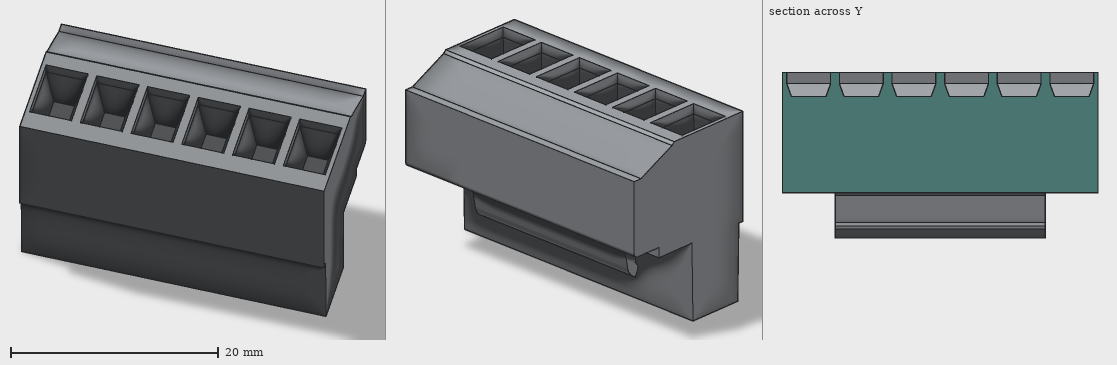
import cadquery as cq

length = 30.48
depth = 15.2
height = 20.0
poles = 6
pitch = length / poles

back_top_z = 17.62
back_rim_width = 0.95
slope_top_y = 9.9
slope_top_z = 19.7
top_back_y = 9.6
overhang_z = 9.45
overhang_corner_radius = 0.45
rear_step_y = 11.77
rear_step_z = 8.35

front_step_z = 8.25
plug_front_y = 0.55
plug_back_y = 7.13
plug_draft = 0.15

pocket_width = 4.2
pocket_depth_y = 6.05
pocket_front_y = 2.0
pocket_straight = 1.1
pocket_inset = 1.07
pocket_taper = 2.93

latch_length = length - 2 * pitch
latch_front_y = 9.65
latch_back_y = 11.3
latch_waist = (10.8, 5.25)
latch_belly = (10.45, 4.55)
latch_tip = (9.72, 4.0)
latch_barb_reach = 0.35
latch_barb_low_z = 4.88
latch_barb_high_z = 5.15
latch_barb_top_z = 5.5
latch_root_flare = 0.25


def along_row(outline, row_length):
    """Extrude a closed YZ outline along X, centred on the row."""
    return outline.close().extrude(row_length / 2, both=True)


def make_body():
    """Housing and plug as one constant section along the row."""
    radius = overhang_corner_radius
    outline = (
        cq.Workplane("YZ")
        .moveTo(0, front_step_z)
        .lineTo(0, height)
        .lineTo(top_back_y, height)
        .lineTo(slope_top_y, slope_top_z)
        .lineTo(depth - back_rim_width, back_top_z)
        .lineTo(depth, back_top_z)
        .lineTo(depth, overhang_z + radius)
        .radiusArc((depth - radius, overhang_z), radius)
        .lineTo(rear_step_y, overhang_z)
        .lineTo(rear_step_y, rear_step_z)
        .lineTo(plug_back_y, rear_step_z)
        .lineTo(plug_back_y - plug_draft, 0)
        .lineTo(plug_front_y + plug_draft, 0)
        .lineTo(plug_front_y, front_step_z)
    )
    return along_row(outline, length)


def make_latch():
    """Hook with flared roots, a bowed back and a barb facing the plug."""
    flare = latch_root_flare
    barb_y = latch_front_y - latch_barb_reach
    outline = (
        cq.Workplane("YZ")
        .moveTo(latch_back_y + flare, rear_step_z)
        .lineTo(latch_back_y, rear_step_z - flare)
        .lineTo(*latch_waist)
        .threePointArc(latch_belly, latch_tip)
        .lineTo(barb_y, latch_barb_low_z)
        .lineTo(barb_y, latch_barb_high_z)
        .lineTo(latch_front_y, latch_barb_top_z)
        .lineTo(latch_front_y, rear_step_z - flare)
        .lineTo(latch_front_y - flare, rear_step_z)
    )
    return along_row(outline, latch_length)


def make_pocket(x):
    """Straight-walled mouth that narrows to a smaller flat floor."""
    center_y = pocket_front_y + pocket_depth_y / 2
    mouth_floor_z = height - pocket_straight
    mouth = (
        cq.Workplane("XY", origin=(x, center_y, mouth_floor_z))
        .rect(pocket_width, pocket_depth_y)
        .extrude(pocket_straight)
    )
    funnel = (
        cq.Workplane("XY", origin=(x, center_y, mouth_floor_z))
        .rect(pocket_width, pocket_depth_y)
        .workplane(offset=-pocket_taper)
        .rect(pocket_width - 2 * pocket_inset, pocket_depth_y - 2 * pocket_inset)
        .loft(ruled=True)
    )
    return mouth.union(funnel)


result = make_body().union(make_latch())
for pole in range(poles):
    pole_x = (pole + 0.5) * pitch - length / 2
    result = result.cut(make_pocket(pole_x))